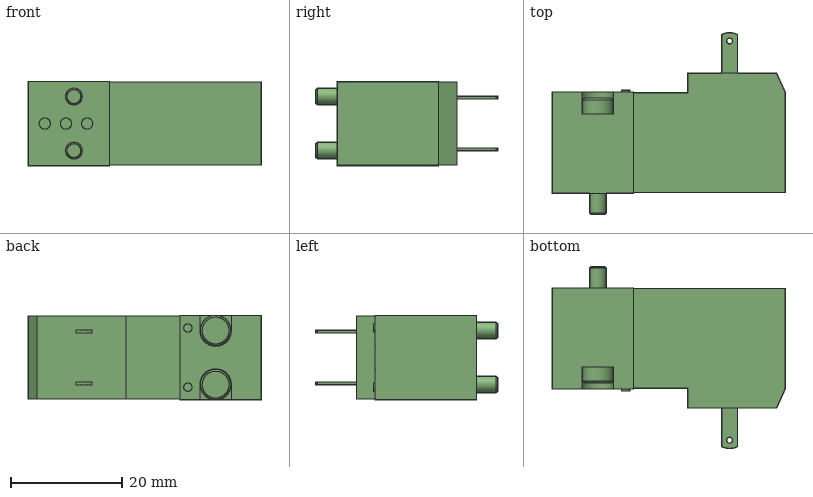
import cadquery as cq

LENGTH = 41.85
BLOCK_LENGTH = 14.55
BLOCK_DEPTH = 18.2
BLOCK_HEIGHT = 15.2

COIL_INSET = 0.13
COIL_BACK = 21.6
STEP_X = 24.3
BEVEL_LENGTH = 1.55
BEVEL_DEPTH = 3.4

SCREW_DIAMETER = 3.0
SCREW_TIP_DIAMETER = 2.45
SCREW_PROTRUSION = 3.8
HEAD_DIAMETER = 5.5
HEAD_TOP_DIAMETER = 4.8
HEAD_HEIGHT = 2.85
SCREW_X = 8.2
SCREW_Z = (BLOCK_HEIGHT - HEAD_DIAMETER) / 2
SLOT_WIDTH = 5.65
SLOT_DEPTH = 3.95

PORT_DIAMETER = 2.0
PORT_DEPTH = 2.1
PORT_PITCH = 3.8
PORT_CENTER_X = 6.8

STUD_DIAMETER = 1.5
STUD_HEIGHT = 0.35
STUD_X = 13.2
STUD_Z = 5.3

TERMINAL_WIDTH = 2.85
TERMINAL_THICKNESS = 0.55
TERMINAL_X = 31.85
TERMINAL_Z = 4.65
TERMINAL_TIP = 28.88
TERMINAL_CROWN = 0.35
TERMINAL_HOLE_DIAMETER = 1.0
TERMINAL_HOLE_SETBACK = 1.5

MIRRORED = (-1, 1)
OVERLAP = 0.4


def cylinder(diameter, start_y, height, x, z):
    """Cylinder along +Y starting at start_y."""
    base = cq.Vector(x, start_y, z)
    return cq.Workplane(cq.Solid.makeCylinder(diameter / 2, height, base, cq.Vector(0, 1, 0)))


def make_block():
    return cq.Workplane("XY").box(BLOCK_LENGTH, BLOCK_DEPTH, BLOCK_HEIGHT, centered=(False, False, True))


def make_coil():
    coil_height = BLOCK_HEIGHT - 2 * COIL_INSET
    shoulder_y = BLOCK_DEPTH - COIL_INSET
    outline = [
        (BLOCK_LENGTH - OVERLAP, COIL_INSET),
        (LENGTH, COIL_INSET),
        (LENGTH, COIL_BACK - BEVEL_DEPTH),
        (LENGTH - BEVEL_LENGTH, COIL_BACK),
        (STEP_X, COIL_BACK),
        (STEP_X, shoulder_y),
        (BLOCK_LENGTH - OVERLAP, shoulder_y),
    ]
    return cq.Workplane("XY").polyline(outline).close().extrude(coil_height / 2, both=True)


def make_screw_slot(side):
    """U-shaped pocket, open at the back and at the outer Z face."""
    floor_y = BLOCK_DEPTH - SLOT_DEPTH
    reach = BLOCK_HEIGHT / 2 - SCREW_Z
    straight = cq.Workplane("XY").box(SLOT_WIDTH, SLOT_DEPTH, reach)
    straight = straight.translate((SCREW_X, floor_y + SLOT_DEPTH / 2, side * (SCREW_Z + reach / 2)))
    return straight.union(cylinder(SLOT_WIDTH, floor_y, SLOT_DEPTH, SCREW_X, side * SCREW_Z))


def make_screw(side):
    """Chamfered head on the pocket floor and chamfered shank past the mounting face."""
    z = side * SCREW_Z
    floor_y = BLOCK_DEPTH - SLOT_DEPTH
    head_chamfer = (HEAD_DIAMETER - HEAD_TOP_DIAMETER) / 2
    tip_chamfer = (SCREW_DIAMETER - SCREW_TIP_DIAMETER) / 2
    head = cylinder(HEAD_DIAMETER, floor_y, HEAD_HEIGHT, SCREW_X, z)
    head = head.faces(">Y").chamfer(head_chamfer)
    shank = cylinder(SCREW_DIAMETER, -SCREW_PROTRUSION, SCREW_PROTRUSION + floor_y, SCREW_X, z)
    shank = shank.faces("<Y").chamfer(tip_chamfer)
    return head.union(shank)


def make_terminal(side):
    """Flat blade with a crowned tip and an eyelet."""
    half_width = TERMINAL_WIDTH / 2
    root_y = COIL_BACK - OVERLAP
    corner_y = TERMINAL_TIP - TERMINAL_CROWN
    blade = (
        cq.Workplane("XY", origin=(TERMINAL_X, 0, side * TERMINAL_Z))
        .moveTo(-half_width, root_y)
        .lineTo(half_width, root_y)
        .lineTo(half_width, corner_y)
        .threePointArc((0, TERMINAL_TIP), (-half_width, corner_y))
        .close()
        .moveTo(0, TERMINAL_TIP - TERMINAL_HOLE_SETBACK)
        .circle(TERMINAL_HOLE_DIAMETER / 2)
    )
    return blade.extrude(TERMINAL_THICKNESS / 2, both=True)


result = make_block().union(make_coil())

for side in MIRRORED:
    result = result.cut(make_screw_slot(side))
    result = result.union(make_screw(side))
    result = result.union(make_terminal(side))
    stud_start = BLOCK_DEPTH - OVERLAP
    result = result.union(
        cylinder(STUD_DIAMETER, stud_start, STUD_HEIGHT + OVERLAP, STUD_X, side * STUD_Z)
    )

for step in (-1, 0, 1):
    port_x = PORT_CENTER_X + step * PORT_PITCH
    result = result.cut(cylinder(PORT_DIAMETER, 0, PORT_DEPTH, port_x, 0))